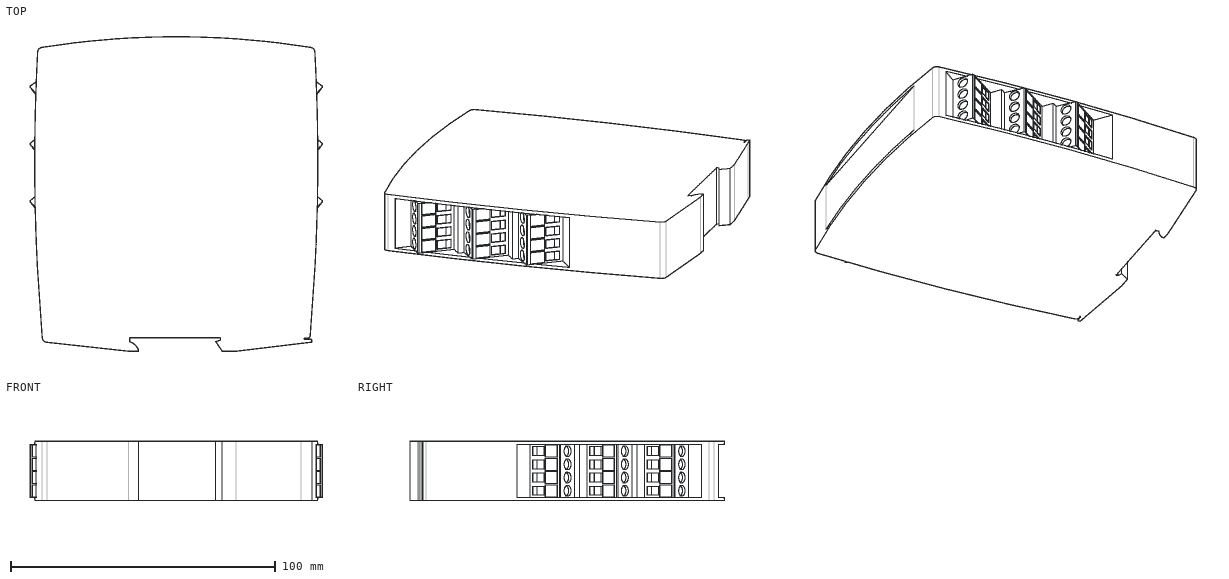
import cadquery as cq
import math

length = 119.2
thickness = 22.5
half_length = length / 2
body_half_width = 53.6
tip_half_width = 55.3
cover_thickness = 1.3
inner_half_height = thickness / 2 - cover_thickness
corner_radius = 2.0

widest_y = 9.5
top_corner = (52.5, 55.3)
bottom_corner = (50.7, -56.0)
foot_left = -18.0
foot_right = 22.6

slot_top_y = -54.5
slot_left = -17.5
slot_right = 16.7
hook_throat_y = -55.9
fixed_hook_tip_x = -14.3
fixed_hook_tip_y = -58.9
fixed_hook_middle = (-15.5, -57.2)
sprung_hook_tip_x = 14.9
sprung_hook_back_y = -55.3
sprung_hook_ramp_x = 17.4

tab_root = (47.3, -56.6)
tab_end_x = 51.4
tab_top_y = -55.0
tab_bottom_y = -56.1
tab_radius = 0.6
slit_end_x = 48.5
slit_width = 0.2
side_end = (50.8, -53.5)
side_end_radius = 1.2

front_face_y = 57.3

bay_top_y = 50.8
bay_bottom_y = -19.1
bay_top_x = 52.5
bay_bottom_x = 53.0
bay_back_x = 45.3

terminal_count = 3
terminal_pitch = 21.7
first_tip_y = 40.9
tip_flat = 0.5
valley_depth = 8.6
valley_drop = 11.7
ledge_outer = (4.8, 14.5)
ledge_inner = (6.2, 16.5)
first_ramp_start = (48.4, 45.9)

pole_count = 4
pole_pitch = 5.0
button_start = 1.2
button_end = 6.8
button_height = 4.5
button_recess = 0.2
socket_start = 7.4
socket_end = 11.0
socket_step_end = 12.9
socket_height = 3.3
socket_depth = 0.5
socket_step_depth = 0.2
screw_hole_diameter = 4.0
screw_hole_depth = 1.2

tip_ys = [first_tip_y - i * terminal_pitch for i in range(terminal_count)]
pole_zs = [(i - (pole_count - 1) / 2) * pole_pitch for i in range(pole_count)]


def prism(outline, half_height):
    """Extrude a closed XY wire symmetrically about Z = 0."""
    return outline.extrude(half_height, both=True)


def make_housing():
    top_x, top_y = top_corner
    bottom_x, bottom_y = bottom_corner
    side_x, side_y = side_end
    slit_top_y = tab_top_y + slit_width
    arc_offset = 1 - math.sqrt(0.5)
    outline = (
        cq.Workplane("XY")
        .moveTo(-top_x, top_y)
        .threePointArc((0, half_length), (top_x, top_y))
        .threePointArc((body_half_width, widest_y), (side_x, side_y))
        .threePointArc(
            (side_x - arc_offset * side_end_radius, slit_top_y + arc_offset * side_end_radius),
            (side_x - side_end_radius, slit_top_y),
        )
        .lineTo(slit_end_x, slit_top_y)
        .lineTo(slit_end_x, tab_top_y)
        .lineTo(tab_end_x - tab_radius, tab_top_y)
        .threePointArc(
            (tab_end_x - arc_offset * tab_radius, tab_top_y - arc_offset * tab_radius),
            (tab_end_x, tab_top_y - tab_radius),
        )
        .lineTo(tab_end_x, tab_bottom_y)
        .lineTo(*tab_root)
        .lineTo(foot_right, -half_length)
        .lineTo(sprung_hook_ramp_x, -half_length)
        .lineTo(sprung_hook_tip_x, hook_throat_y)
        .lineTo(slot_right, sprung_hook_back_y)
        .lineTo(slot_right, slot_top_y)
        .lineTo(slot_left, slot_top_y)
        .lineTo(slot_left, hook_throat_y)
        .threePointArc(fixed_hook_middle, (fixed_hook_tip_x, fixed_hook_tip_y))
        .lineTo(fixed_hook_tip_x, -half_length)
        .lineTo(foot_left, -half_length)
        .lineTo(-bottom_x, bottom_y)
        .threePointArc((-body_half_width, widest_y), (-top_x, top_y))
        .close()
    )
    housing = prism(outline, thickness / 2)
    corners = [(-top_x, top_y, 0), (top_x, top_y, 0), (-bottom_x, bottom_y, 0)]
    for corner in corners:
        housing = housing.edges(cq.NearestToPointSelector(corner)).fillet(corner_radius)
    return housing


def make_front_recess():
    height = half_length - front_face_y
    recess = cq.Workplane("XY").box(2 * body_half_width, height, 2 * inner_half_height)
    return recess.translate((0, front_face_y + height / 2, 0))


def make_bay():
    depth = tip_half_width - bay_back_x
    bay = cq.Workplane("XY").box(depth, bay_top_y - bay_bottom_y, 2 * inner_half_height)
    return bay.translate((-bay_back_x - depth / 2, (bay_top_y + bay_bottom_y) / 2, 0))


def ramp_start(index):
    """Foot of the +Y ramp that rises to the given tip."""
    if index == 0:
        return (-first_ramp_start[0], first_ramp_start[1])
    return (-tip_half_width + ledge_inner[0], tip_ys[index - 1] - ledge_inner[1])


def make_terminal_blank():
    points = [(-bay_back_x, bay_top_y), (-bay_top_x, bay_top_y)]
    for index, tip_y in enumerate(tip_ys):
        points.append(ramp_start(index))
        points.append((-tip_half_width, tip_y))
        points.append((-tip_half_width, tip_y - tip_flat))
        points.append((-tip_half_width + valley_depth, tip_y - valley_drop))
        if index < terminal_count - 1:
            points.append((-tip_half_width + ledge_outer[0], tip_y - ledge_outer[1]))
    points.append((-bay_bottom_x, bay_bottom_y))
    points.append((-bay_back_x, bay_bottom_y))
    return prism(cq.Workplane("XY").polyline(points).close(), inner_half_height)


def facet_pockets(tip_y, start, end, height, depth):
    """Rectangular pockets, one per pole, between two distances down a wedge facet."""
    facet_drop = valley_drop - tip_flat
    facet = cq.Plane(
        origin=(-tip_half_width, tip_y - tip_flat, 0),
        xDir=(valley_depth, -facet_drop, 0),
        normal=(-facet_drop, -valley_depth, 0),
    )
    centres = [((start + end) / 2, z) for z in pole_zs]
    return cq.Workplane(facet).pushPoints(centres).rect(end - start, height).extrude(-depth)


def screw_holes(index):
    foot_x, foot_y = ramp_start(index)
    tip_y = tip_ys[index]
    run_x = -tip_half_width - foot_x
    run_y = tip_y - foot_y
    ramp = cq.Plane(
        origin=(foot_x + run_x / 2, foot_y + run_y / 2, 0),
        xDir=(run_x, run_y, 0),
        normal=(run_y, -run_x, 0),
    )
    centres = [(0, z) for z in pole_zs]
    holes = cq.Workplane(ramp).pushPoints(centres).circle(screw_hole_diameter / 2)
    return holes.extrude(-screw_hole_depth)


def make_terminals():
    terminals = make_terminal_blank()
    for index, tip_y in enumerate(tip_ys):
        terminals = terminals.cut(
            facet_pockets(tip_y, button_start, button_end, button_height, button_recess)
        )
        terminals = terminals.cut(
            facet_pockets(tip_y, socket_start, socket_end, socket_height, socket_depth)
        )
        terminals = terminals.cut(
            facet_pockets(tip_y, socket_end, socket_step_end, socket_height, socket_step_depth)
        )
        terminals = terminals.cut(screw_holes(index))
    return terminals


housing = make_housing().cut(make_front_recess())
bay = make_bay()
terminals = make_terminals()
housing = housing.cut(bay).cut(bay.mirror("YZ"))
result = housing.union(terminals).union(terminals.mirror("YZ"))